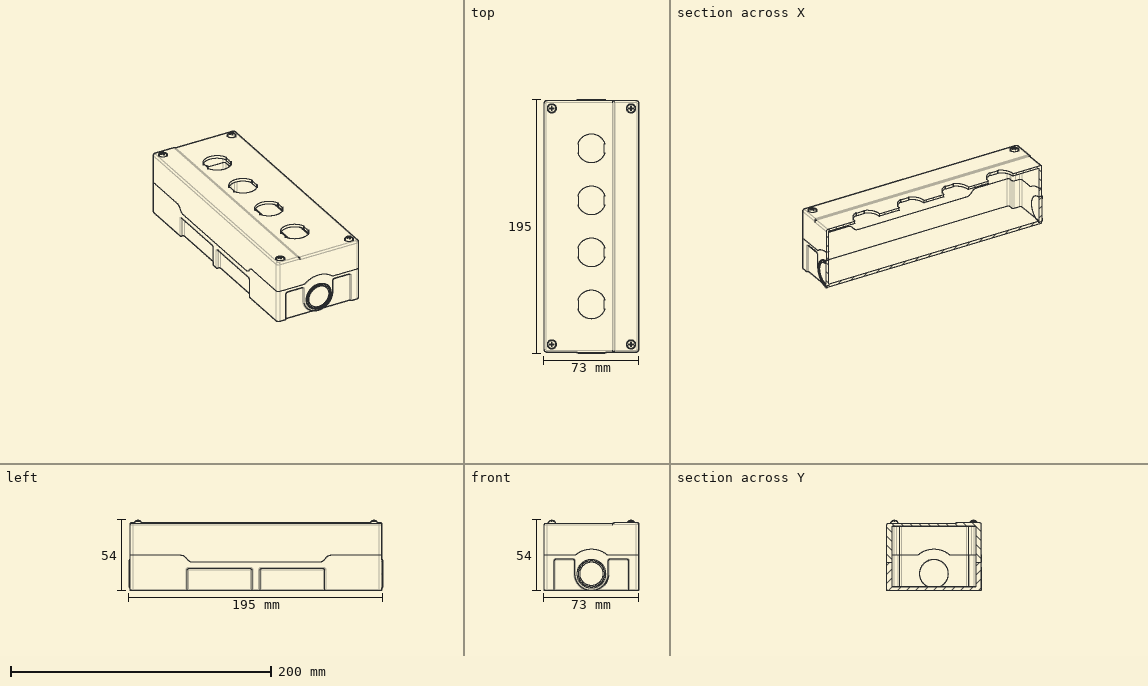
import cadquery as cq
import math

width = 73.0
total_length = 195.0
plug_projection = 0.68
length = total_length - 2 * plug_projection
corner_radius = 2.3

side_wall = 4.3
end_wall = 2.5
floor_thickness = 3.0
cavity_fillet = 1.5
bottom_fillet = 0.5

low_top = 51.7
step_height = 0.5
plate_thickness = 2.3
step_start = 16.4
step_run = 1.5
rim_fillet = 1.46
high_top = low_top + step_height
ceiling = low_top - plate_thickness

button_diameter = 22.0
button_count = 4
button_pitch = 40.0
tab_half_gap = 9.8
tab_width = 7.0

parting_z = 27.1
parting_drop = 5.3
drop_outer_y = 57.7
drop_inner_y = 48.8
end_bulge_radius = 19.0

screw_x = 30.5
screw_y = 90.7
shank_diameter = 4.3
head_diameter = 6.0
counterbore_diameter = 7.0
screw_tip_z = 15.6
seat_z = 50.1
screw_top_z = 54.0
cross_length = 3.5
cross_width = 0.5
cross_depth = 1.2
post_half_width = 3.9
base_post_radius = 1.0
cover_post_radius = 2.3

plug_z = 12.9
plug_diameter = 22.0
plug_rim_diameter = 20.0
plug_recess_diameter = 18.0
plug_flange_projection = 0.49
plug_recess_depth = 0.4

end_recess_half_width = 28.7
end_recess_top = 24.2
end_recess_depth = 1.27
end_recess_corner = 1.8
end_recess_fillet = 0.5
collar_radius = 12.9

side_recess_near_y = 3.1
side_recess_far_y = 52.8
side_recess_top = 16.8
side_recess_depth = 2.7
side_recess_corner = 1.2
side_recess_fillet = 1.0

trim_depth = 5.8
margin = 0.2
reach = 2 * total_length

half_width = width / 2
half_length = length / 2
cavity_half_width = half_width - side_wall
cavity_half_length = half_length - end_wall
screw_points = [(sx * screw_x, sy * screw_y) for sx in (-1, 1) for sy in (-1, 1)]


def block(size_x, size_y, bottom, top):
    """Box centred on the Z axis between two heights."""
    return cq.Workplane("XY").workplane(offset=bottom).rect(size_x, size_y).extrude(top - bottom)


def cylinders(points, diameter, bottom, top):
    """Vertical cylinders at the given points."""
    plane = cq.Workplane("XY").workplane(offset=bottom)
    return plane.pushPoints(points).circle(diameter / 2).extrude(top - bottom)


def fillet_within(body, corner_a, corner_b, radius):
    """Fillet the edges whose centres lie inside a box given by two corners."""
    return body.edges(cq.selectors.BoxSelector(corner_a, corner_b)).fillet(radius)


def outer_block(bottom, top):
    return block(width, length, bottom, top).edges("|Z").fillet(corner_radius)


def cavity(bottom, top, post_radius):
    """Inner space with the four corner posts left standing."""
    space = block(2 * cavity_half_width, 2 * cavity_half_length, bottom, top)
    for x, y in screw_points:
        post_x = math.copysign(cavity_half_width, x)
        post_y = math.copysign(cavity_half_length, y)
        size_x = 2 * (cavity_half_width - screw_x + post_half_width)
        size_y = 2 * (cavity_half_length - screw_y + post_half_width)
        post = block(size_x, size_y, bottom, top).edges("|Z").fillet(post_radius)
        space = space.cut(post.translate((post_x, post_y, 0)))
        for corner_x, corner_y in (
            (post_x, post_y - math.copysign(size_y / 2, y)),
            (post_x - math.copysign(size_x / 2, x), post_y),
        ):
            low_corner = (corner_x - margin, corner_y - margin, bottom - margin)
            high_corner = (corner_x + margin, corner_y + margin, top + margin)
            space = fillet_within(space, low_corner, high_corner, cavity_fillet)
    return space


def base_zone():
    """All the space below the parting surface."""
    low_z = parting_z - parting_drop
    level = [(1, 0), (1, 0)]
    zone = (
        cq.Workplane("YZ")
        .moveTo(-reach, -reach)
        .lineTo(-reach, parting_z)
        .lineTo(-drop_outer_y, parting_z)
        .spline([(-drop_inner_y, low_z)], tangents=level, includeCurrent=True)
        .lineTo(drop_inner_y, low_z)
        .spline([(drop_outer_y, parting_z)], tangents=level, includeCurrent=True)
        .lineTo(reach, parting_z)
        .lineTo(reach, -reach)
        .close()
        .extrude(width, both=True)
    )
    bulge = cq.Workplane("XZ").center(0, plug_z).circle(end_bulge_radius).extrude(length, both=True)
    return zone.union(bulge)


def end_recess_cutter():
    """Recess of the -Y end, on both sides of the plug collar."""
    height = end_recess_top + 2 * trim_depth
    recess = (
        cq.Workplane("XZ", origin=(0, -half_length + end_recess_depth, 0))
        .center(0, end_recess_top - height / 2)
        .rect(2 * end_recess_half_width, height)
        .extrude(2 * end_recess_depth)
    )
    collar_plane = cq.Workplane("XZ", origin=(0, -half_length + 2 * end_recess_depth, plug_z))
    collar = collar_plane.circle(collar_radius).extrude(4 * end_recess_depth)
    neck = collar_plane.center(0, reach / 2).rect(2 * collar_radius, reach).extrude(4 * end_recess_depth)
    recess = recess.cut(collar.union(neck))
    return recess.edges("|Y and >Z").fillet(end_recess_corner)


def side_recess_cutter():
    """The two recesses of the -X side."""
    height = side_recess_top + 2 * trim_depth
    middle_y = (side_recess_near_y + side_recess_far_y) / 2
    return (
        cq.Workplane("YZ", origin=(-half_width - side_recess_depth, 0, side_recess_top - height / 2))
        .pushPoints([(-middle_y, 0), (middle_y, 0)])
        .rect(side_recess_far_y - side_recess_near_y, height)
        .extrude(2 * side_recess_depth)
        .edges("|X and >Z")
        .fillet(side_recess_corner)
    )


def recessed_lower_block():
    """Lower half of the enclosure as a solid block with rounded wall recesses."""
    body = outer_block(-trim_depth, parting_z + end_bulge_radius).intersect(base_zone())
    end_cutter = end_recess_cutter()
    side_cutter = side_recess_cutter()
    lowest = -trim_depth + margin
    for turn in (0, 180):
        body = body.cut(end_cutter.rotate((0, 0, 0), (0, 0, 1), turn))
        body = body.cut(side_cutter.rotate((0, 0, 0), (0, 0, 1), turn))

    for side in (-1, 1):
        rim_y = side * half_length
        floor_y = side * (half_length - end_recess_depth)
        reach_x = end_recess_half_width + margin
        top = end_recess_top + margin
        for y in (rim_y, floor_y):
            low_corner = (-reach_x, y - margin, lowest)
            high_corner = (reach_x, y + margin, top)
            body = fillet_within(body, low_corner, high_corner, end_recess_fillet)

        rim_x = side * half_width
        floor_x = side * (half_width - side_recess_depth)
        reach_y = side_recess_far_y + margin
        top = side_recess_top + margin
        for x in (rim_x, floor_x):
            low_corner = (x - margin, -reach_y, lowest)
            high_corner = (x + margin, reach_y, top)
            body = fillet_within(body, low_corner, high_corner, side_recess_fillet)
    return body


def make_base():
    body = recessed_lower_block()
    body = body.cut(block(reach, reach, -reach, 0))
    body = body.faces("<Z").edges().fillet(bottom_fillet)
    body = body.cut(cavity(floor_thickness, high_top, base_post_radius))
    plug_hole = cq.Workplane("XZ").center(0, plug_z).circle(plug_diameter / 2).extrude(reach, both=True)
    inner_keep = block(width, 2 * cavity_half_length, -reach, reach)
    body = body.cut(plug_hole.cut(inner_keep))
    return body.cut(cylinders(screw_points, shank_diameter, screw_tip_z, high_top))


def step_remover():
    """Space on the -X side of the step, whose face is an S of two tangent arcs."""
    half_run = step_run / 2
    half_rise = step_height / 2
    arc_radius = (half_run**2 + half_rise**2) / (2 * half_rise)
    half_angle = math.asin(half_run / arc_radius) / 2
    step_middle = (step_start + half_run, low_top + half_rise)
    foot_arc_middle = (
        step_start + arc_radius * math.sin(half_angle),
        low_top + arc_radius * (1 - math.cos(half_angle)),
    )
    return (
        cq.Workplane("XZ")
        .moveTo(-width, 0)
        .lineTo(step_start, 0)
        .lineTo(step_start, low_top)
        .threePointArc(foot_arc_middle, step_middle)
        .tangentArcPoint((step_start + step_run, high_top), relative=False)
        .lineTo(step_start + step_run, reach)
        .lineTo(-width, reach)
        .close()
        .extrude(length, both=True)
    )


def button_cutter():
    opening = cylinders([(0, 0)], button_diameter, parting_z, reach)
    return opening.intersect(
        block(2 * tab_half_gap, button_diameter, 0, reach).union(
            opening.cut(block(button_diameter, tab_width, 0, reach))
        )
    )


def make_cover():
    main = outer_block(0, low_top).faces(">Z").edges().fillet(rim_fillet)
    strip = outer_block(0, high_top).faces(">Z").edges().fillet(rim_fillet).cut(step_remover())
    body = main.union(strip).cut(base_zone())
    body = body.cut(cavity(0, ceiling, cover_post_radius))
    first_y = -button_pitch * (button_count - 1) / 2
    for index in range(button_count):
        body = body.cut(button_cutter().translate((0, first_y + index * button_pitch, 0)))
    body = body.cut(cylinders(screw_points, counterbore_diameter, seat_z, reach))
    return body.cut(cylinders(screw_points, shank_diameter, 0, seat_z))


def make_screw(x, y):
    """Hemispherical-head screw with a cross slot."""
    head_radius = head_diameter / 2
    shank_radius = shank_diameter / 2
    dome_start_z = screw_top_z - head_radius
    arc_middle = head_radius * math.sqrt(0.5)
    screw = (
        cq.Workplane("XZ")
        .moveTo(0, screw_tip_z)
        .lineTo(shank_radius, screw_tip_z)
        .lineTo(shank_radius, seat_z)
        .lineTo(head_radius, seat_z)
        .lineTo(head_radius, dome_start_z)
        .threePointArc((arc_middle, dome_start_z + arc_middle), (0, screw_top_z))
        .close()
        .revolve(360, (0, 0, 0), (0, 1, 0))
    )
    slot_floor = screw_top_z - cross_depth
    slot = block(cross_length, cross_width, slot_floor, reach)
    slot = slot.union(block(cross_width, cross_length, slot_floor, reach))
    return screw.cut(slot).translate((x, y, 0))


def make_plug(turn):
    """Stepped blanking plug in the -Y end wall, turned about Z to its own end."""
    outward = cq.Workplane("XZ", origin=(0, -cavity_half_length, plug_z))
    plug = outward.circle(plug_diameter / 2).extrude(end_wall + plug_flange_projection)
    plug = plug.union(outward.circle(plug_rim_diameter / 2).extrude(end_wall + plug_projection))
    recess = (
        cq.Workplane("XZ", origin=(0, -total_length / 2 + plug_recess_depth, plug_z))
        .circle(plug_recess_diameter / 2)
        .extrude(plug_recess_depth)
    )
    return plug.cut(recess).rotate((0, 0, 0), (0, 0, 1), turn)


base = make_base()
cover = make_cover()
screws = [make_screw(x, y) for x, y in screw_points]
plugs = [make_plug(turn) for turn in (0, 180)]

result = cq.Compound.makeCompound(
    [base.val(), cover.val(), *[screw.val() for screw in screws], *[plug.val() for plug in plugs]]
)